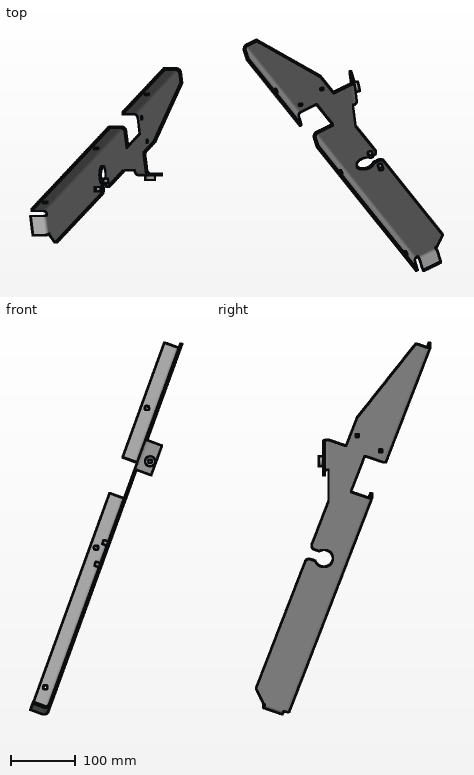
import cadquery as cq
import math

TILT = 20.0
SIN_TILT = math.sin(math.radians(TILT))
COS_TILT = math.cos(math.radians(TILT))

SHEET = 3.0
BEND_INNER = 5.0
BEND_OUTER = BEND_INNER + SHEET
FLANGE_REACH = 27.0
TAB_REACH = 27.5

PANEL_HEIGHT = 639.5
TOP_WIDTH = 24.1
UPPER_WIDTH = 68.2
LOWER_WIDTH = 62.6
TAPER_END_Z = 493.1
CORNER_CHAMFER = 20.2

NOTCH_BOTTOM_Z = 375.3
NOTCH_TOP_Z = 438.4
NOTCH_DEPTH = 35.2

EAR_TOP_Z = 444.0
EAR_TOP_ACROSS = 97.4
EAR_LENGTH = 49.2
EAR_BOSS_DIAMETER = 15.6
EAR_BOSS_HEIGHT = 7.2
EAR_BOSS_BORE = 5.4
EAR_BOSS_FROM_TIP = 9.2
EAR_BOSS_FROM_BOTTOM = 19.9

TAB_WIDTH = 31.1
TAB_START_ACROSS = 9.2

KEYHOLE_Z = 258.0
KEYHOLE_ACROSS = 37.1
KEYHOLE_DIAMETER = 28.0
SLOT_WIDTH = 17.3
SLOT_CORNER_RADIUS = 6.5

STUD_DIAMETER = 7.0
STUD_HEIGHT = 7.6
STUD_ACROSS = 54.0
STUD_OFFSET_Z = 19.0

PANEL_HOLE_DIAMETER = 5.4
PANEL_HOLES = [(15.0, 454.8), (57.7, 466.0)]
FLANGE_HOLE_DIAMETER = 7.0
FLANGE_HOLE_FIRST_Z = 38.2
FLANGE_HOLE_PITCH = 245.0
FLANGE_HOLE_COUNT = 3

FLANGE_TIP = FLANGE_REACH - SHEET
TAB_TIP = TAB_REACH - SHEET
FLANGE_FLAT_MIDDLE = (BEND_INNER + FLANGE_TIP) / 2


def folded_lip(plane, tip, width):
    """Bend and lip: plane x runs out of the panel, plane y is the fold direction."""
    diagonal = math.sqrt(0.5)
    inner_middle = (BEND_INNER * diagonal, BEND_INNER * (1 - diagonal))
    outer_middle = (BEND_OUTER * diagonal, BEND_INNER - BEND_OUTER * diagonal)
    return (
        cq.Workplane(plane)
        .moveTo(0, -SHEET)
        .threePointArc(outer_middle, (BEND_OUTER, BEND_INNER))
        .lineTo(BEND_OUTER, tip)
        .lineTo(BEND_INNER, tip)
        .lineTo(BEND_INNER, BEND_INNER)
        .threePointArc(inner_middle, (0, 0))
        .close()
        .extrude(width)
    )


def panel():
    ear_line_end_z = EAR_TOP_Z - (EAR_TOP_ACROSS - LOWER_WIDTH) * COS_TILT / SIN_TILT
    outline = [
        (BEND_OUTER, 0),
        (LOWER_WIDTH - CORNER_CHAMFER, 0),
        (LOWER_WIDTH, CORNER_CHAMFER),
        (LOWER_WIDTH, ear_line_end_z),
        (EAR_TOP_ACROSS, EAR_TOP_Z),
        (UPPER_WIDTH, EAR_TOP_Z),
        (UPPER_WIDTH, TAPER_END_Z),
        (TOP_WIDTH, PANEL_HEIGHT),
        (BEND_OUTER, PANEL_HEIGHT),
        (BEND_OUTER, NOTCH_TOP_Z),
        (NOTCH_DEPTH, NOTCH_TOP_Z),
        (NOTCH_DEPTH, NOTCH_BOTTOM_Z),
        (BEND_OUTER, NOTCH_BOTTOM_Z),
    ]
    points = [(-across, z) for across, z in outline]
    return cq.Workplane("YZ").polyline(points).close().extrude(SHEET)


def keyhole():
    """Round opening joined to the panel edge by a slot whose mouth is rounded outward."""
    mouth = SLOT_WIDTH / 2 + SLOT_CORNER_RADIUS
    edge = -LOWER_WIDTH
    throat = edge + SLOT_CORNER_RADIUS
    step = SLOT_CORNER_RADIUS * (1 - math.sqrt(0.5))
    center = (-KEYHOLE_ACROSS, KEYHOLE_Z)
    slot = (
        cq.Workplane("YZ", origin=(0, 0, KEYHOLE_Z))
        .moveTo(-KEYHOLE_ACROSS, SLOT_WIDTH / 2)
        .lineTo(throat, SLOT_WIDTH / 2)
        .threePointArc((edge + step, SLOT_WIDTH / 2 + step), (edge, mouth))
        .lineTo(edge, -mouth)
        .threePointArc((edge + step, -SLOT_WIDTH / 2 - step), (throat, -SLOT_WIDTH / 2))
        .lineTo(-KEYHOLE_ACROSS, -SLOT_WIDTH / 2)
        .close()
        .extrude(SHEET)
    )
    opening = cq.Workplane("YZ").center(*center).circle(KEYHOLE_DIAMETER / 2).extrude(SHEET)
    return slot.union(opening)


def flange(bottom_z, top_z):
    plane = cq.Plane(origin=(0, -BEND_OUTER, bottom_z), xDir=(0, 1, 0), normal=(0, 0, 1))
    return folded_lip(plane, FLANGE_TIP, top_z - bottom_z)


def bottom_tab():
    start_y = -(TAB_START_ACROSS + TAB_WIDTH)
    plane = cq.Plane(origin=(0, start_y, 0), xDir=(0, 0, -1), normal=(0, 1, 0))
    return folded_lip(plane, TAB_TIP, TAB_WIDTH)


def ear():
    lower_y = -EAR_TOP_ACROSS + EAR_LENGTH * SIN_TILT
    lower_z = EAR_TOP_Z - EAR_LENGTH * COS_TILT
    plane = cq.Plane(
        origin=(SHEET, lower_y, lower_z),
        xDir=(0, -COS_TILT, -SIN_TILT),
        normal=(0, -SIN_TILT, COS_TILT),
    )
    boss_center = (0, TAB_TIP - EAR_BOSS_FROM_TIP, EAR_BOSS_FROM_BOTTOM)
    boss_plane = cq.Plane(origin=plane.toWorldCoords(boss_center), xDir=(1, 0, 0), normal=plane.xDir)
    outer_end = BEND_OUTER + EAR_BOSS_HEIGHT
    boss = (
        cq.Workplane(boss_plane)
        .workplane(offset=BEND_OUTER)
        .circle(EAR_BOSS_DIAMETER / 2)
        .extrude(EAR_BOSS_HEIGHT)
    )
    bore = cq.Workplane(boss_plane).circle(EAR_BOSS_BORE / 2).extrude(outer_end)
    return folded_lip(plane, TAB_TIP, EAR_LENGTH).union(boss).cut(bore)


def studs():
    centers = [(-STUD_ACROSS, KEYHOLE_Z + side * STUD_OFFSET_Z) for side in (-1, 1)]
    return cq.Workplane("YZ").pushPoints(centers).circle(STUD_DIAMETER / 2).extrude(-STUD_HEIGHT)


def panel_holes():
    centers = [(-across, z) for across, z in PANEL_HOLES]
    return cq.Workplane("YZ").pushPoints(centers).circle(PANEL_HOLE_DIAMETER / 2).extrude(SHEET)


def flange_holes():
    centers = [
        (-FLANGE_FLAT_MIDDLE, FLANGE_HOLE_FIRST_Z + i * FLANGE_HOLE_PITCH)
        for i in range(FLANGE_HOLE_COUNT)
    ]
    return cq.Workplane("XZ").pushPoints(centers).circle(FLANGE_HOLE_DIAMETER / 2).extrude(SHEET)


upright = (
    panel()
    .cut(keyhole())
    .cut(panel_holes())
    .union(flange(0, NOTCH_BOTTOM_Z))
    .union(flange(NOTCH_TOP_Z, PANEL_HEIGHT))
    .cut(flange_holes())
    .union(bottom_tab())
    .union(ear())
    .union(studs())
)

result = upright.rotate((0, 0, 0), (1, 0, 0), -TILT).rotate((0, 0, 0), (0, 1, 0), TILT)